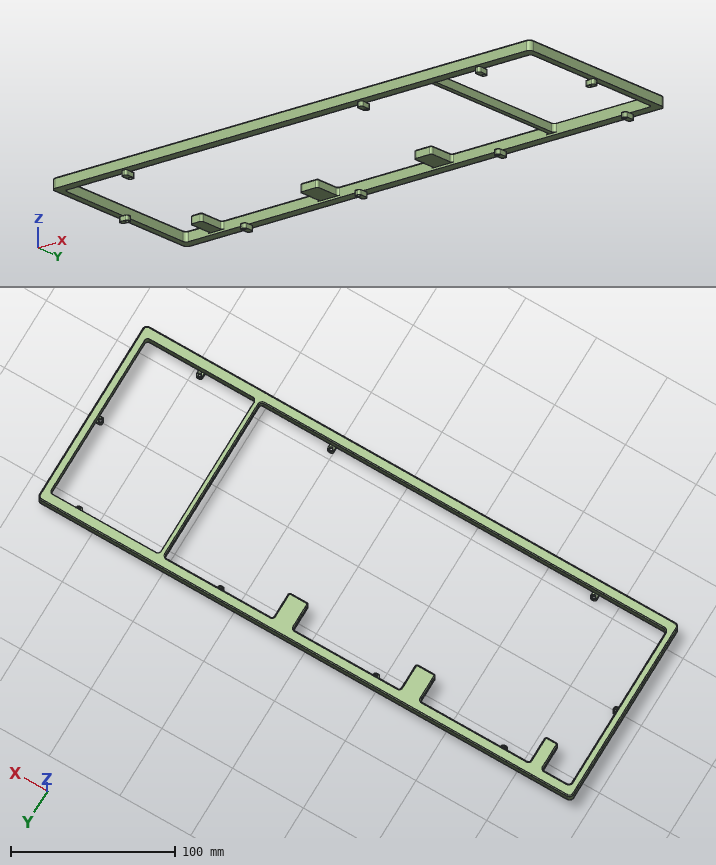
import cadquery as cq
LENGTH = 377.5
WIDTH = 129.0
TOTAL_HEIGHT = 10.5
EAR_THICKNESS = 3.5
PLATE_THICKNESS = TOTAL_HEIGHT - EAR_THICKNESS
OUTER_CORNER_RADIUS = 3.0
EDGE_CHAMFER = 0.8

LONG_RAIL = 6.8
END_RAIL = 5.0
INNER_X = LENGTH / 2 - END_RAIL
INNER_Y = WIDTH / 2 - LONG_RAIL
DIVIDER_LEFT = 103.0
DIVIDER_WIDTH = 3.5
WINDOW_CORNER_RADIUS = 2.3
UNDERSIDE_RECESS = 1.5

FINGERS = [(-164.0, 9.0), (-77.7, 14.0), (12.0, 14.0)]
FINGER_CORNER_RADIUS = 1.5
FINGER_MARGIN = 0.5
FINGER_REACH = 26.0

EAR_WIDTH = 4.0
EAR_CORNER_RADIUS = 1.5
EAR_HOLE_DIAMETER = 2.4
EAR_HOLE_SETBACK = 1.7
LONG_RAIL_EAR_START = 2.3
LONG_RAIL_EAR_LENGTH = 8.3
END_RAIL_EAR_START = 1.5
END_RAIL_EAR_LENGTH = 6.8
BACK_EAR_X = [-136.0, -45.5, 64.0, 164.0]
FRONT_EAR_X = [-133.5, 52.0, 145.0]


def block(left, right, front, back, height):
    """Box standing on Z = 0 between the given sides."""
    return (
        cq.Workplane("XY")
        .box(right - left, back - front, height, centered=False)
        .translate((left, front, 0))
    )


def make_plate():
    """Solid plate with rounded corners and a bevelled top edge."""
    return (
        cq.Workplane("XY")
        .rect(LENGTH, WIDTH)
        .extrude(PLATE_THICKNESS)
        .edges("|Z")
        .fillet(OUTER_CORNER_RADIUS)
        .faces(">Z")
        .edges()
        .chamfer(EDGE_CHAMFER)
    )


def make_large_window():
    """Cutter for the left window: leaves the fingers and bevels the top edge."""
    window = block(-INNER_X, DIVIDER_LEFT, -INNER_Y, INNER_Y, PLATE_THICKNESS)
    window = window.edges("|Z").fillet(WINDOW_CORNER_RADIUS)
    finger_tip = WIDTH / 2 - FINGER_REACH
    for left, width in FINGERS:
        window = window.cut(block(left, left + width, finger_tip, INNER_Y, PLATE_THICKNESS))
    first_left = FINGERS[0][0]
    last_right = FINGERS[-1][0] + FINGERS[-1][1]
    finger_corners = cq.selectors.BoxSelector(
        (first_left - FINGER_MARGIN, finger_tip - FINGER_MARGIN, 0),
        (last_right + FINGER_MARGIN, INNER_Y + FINGER_MARGIN, PLATE_THICKNESS),
    )
    window = window.edges("|Z").edges(finger_corners).fillet(FINGER_CORNER_RADIUS)
    bevel = (
        window.faces(">Z")
        .wires()
        .toPending()
        .workplane()
        .offset2D(EDGE_CHAMFER)
        .extrude(-EDGE_CHAMFER, taper=45, combine=False)
    )
    return window.union(bevel)


def make_small_window():
    """Cutter for the right window, which has no bevel."""
    window = block(DIVIDER_LEFT + DIVIDER_WIDTH, INNER_X, -INNER_Y, INNER_Y, PLATE_THICKNESS)
    return window.edges("|Z").fillet(WINDOW_CORNER_RADIUS)


def make_underside_recess():
    """Cutter that shortens the divider and the fingers from below."""
    recess = block(-INNER_X, INNER_X, -INNER_Y, INNER_Y, UNDERSIDE_RECESS)
    return recess.edges("|Z").fillet(WINDOW_CORNER_RADIUS)


def make_ear(edge_x, edge_y, inward_angle, start, length):
    """Rounded ear under the plate, with a screw hole at its inner end."""
    ear = (
        cq.Workplane("XY")
        .rect(length, EAR_WIDTH)
        .extrude(-EAR_THICKNESS)
        .edges("|Z")
        .fillet(EAR_CORNER_RADIUS)
    )
    hole_offset = length / 2 - EAR_HOLE_SETBACK
    hole = (
        cq.Workplane("XY")
        .center(hole_offset, 0)
        .circle(EAR_HOLE_DIAMETER / 2)
        .extrude(-EAR_THICKNESS)
    )
    return (
        ear.cut(hole)
        .translate((start + length / 2, 0, 0))
        .rotate((0, 0, 0), (0, 0, 1), inward_angle)
        .translate((edge_x, edge_y, 0))
    )


result = make_plate()
result = result.cut(make_large_window()).cut(make_small_window()).cut(make_underside_recess())

for x in BACK_EAR_X:
    result = result.union(make_ear(x, WIDTH / 2, -90, LONG_RAIL_EAR_START, LONG_RAIL_EAR_LENGTH))
for x in FRONT_EAR_X:
    result = result.union(make_ear(x, -WIDTH / 2, 90, LONG_RAIL_EAR_START, LONG_RAIL_EAR_LENGTH))
result = result.union(make_ear(-LENGTH / 2, 0, 0, END_RAIL_EAR_START, END_RAIL_EAR_LENGTH))
result = result.union(make_ear(LENGTH / 2, 0, 180, END_RAIL_EAR_START, END_RAIL_EAR_LENGTH))